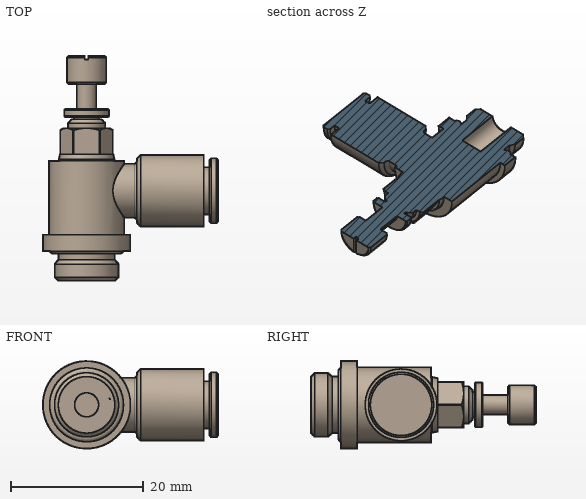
import cadquery as cq
import math


port_radius = 4.86
port_face_chamfer = 0.58
port_back_y = 2.56
neck_radius = 4.3
neck_start_y = 3.2
bore_radius = 1.82
bore_depth = 7.0

flange_radius = 6.65
flange_bottom_y = 4.52
flange_top_y = 7.0
seal_outer_radius = 5.6
seal_bulge = 0.42

body_radius = 5.73
body_top_y = 18.2

collar_foot_radius = 4.12
collar_wide_radius = 4.23
collar_top_radius = 4.05
collar_wide_y = 18.4
collar_top_y = 19.22

hex_across_flats = 7.0
hex_corner_radius = 4.0
hex_top_y = 23.13
hex_chamfer_angle = 30.0

nose_radius = 2.85
nose_tip_radius = 2.25
nose_cone_y = 23.87
nose_top_y = 24.5
nose_neck_radius = 1.95

washer_radius = 3.42
washer_chamfer = 0.2
washer_bottom_y = 24.8
washer_top_y = 26.06

stem_radius = 1.5
head_radius = 3.0
head_bottom_y = 29.82
head_top_y = 34.1
head_chamfer = 0.28
slot_width = 0.5
slot_depth = 0.55

branch_y = 13.65
branch_radius = 4.12
branch_flare = 0.4
sleeve_radius = 5.44
sleeve_start_x = 7.6
sleeve_end_x = 17.78
sleeve_chamfer = 0.57
release_neck_radius = 3.6
release_radius = 4.94
release_chamfer = 0.3
release_start_x = 18.6
branch_end_x = 19.94


def turned_disc(radius, bottom_y, top_y, bottom_chamfer=0.0, top_chamfer=0.0):
    """Cylinder along Y between two heights, with optional 45 degree edge chamfers."""
    disc = cq.Workplane("XZ", origin=(0, bottom_y, 0)).circle(radius).extrude(bottom_y - top_y)
    if bottom_chamfer:
        disc = disc.faces("<Y").chamfer(bottom_chamfer)
    if top_chamfer:
        disc = disc.faces(">Y").chamfer(top_chamfer)
    return disc


def revolve_about_y(outline):
    return outline.close().revolve(360, (0, 0, 0), (0, 1, 0))


def make_port():
    port = revolve_about_y(
        cq.Workplane("XY")
        .moveTo(0, 0)
        .lineTo(port_radius - port_face_chamfer, 0)
        .lineTo(port_radius, port_face_chamfer)
        .lineTo(port_radius, port_back_y)
        .lineTo(neck_radius, neck_start_y)
        .lineTo(neck_radius, flange_bottom_y)
        .lineTo(0, flange_bottom_y)
    )
    seal_middle_radius = (seal_outer_radius + neck_radius) / 2
    seal = revolve_about_y(
        cq.Workplane("XY")
        .moveTo(neck_radius, flange_bottom_y)
        .threePointArc(
            (seal_middle_radius, flange_bottom_y - seal_bulge),
            (seal_outer_radius, flange_bottom_y),
        )
    )
    return port.union(seal)


def make_body():
    flange = turned_disc(flange_radius, flange_bottom_y, flange_top_y)
    barrel = turned_disc(body_radius, flange_top_y, body_top_y)
    collar = revolve_about_y(
        cq.Workplane("XY")
        .moveTo(0, body_top_y)
        .lineTo(collar_foot_radius, body_top_y)
        .lineTo(collar_wide_radius, collar_wide_y)
        .lineTo(collar_top_radius, collar_top_y)
        .lineTo(0, collar_top_y)
    )
    return flange.union(barrel).union(collar)


def make_hexagon():
    across_corners = hex_across_flats / math.cos(math.radians(30))
    prism = (
        cq.Workplane("XZ", origin=(0, collar_top_y, 0))
        .polygon(6, across_corners)
        .extrude(collar_top_y - hex_top_y)
    )
    flat_radius = hex_across_flats / 2
    chamfer_height = (hex_corner_radius - flat_radius) * math.tan(math.radians(hex_chamfer_angle))
    turned_envelope = revolve_about_y(
        cq.Workplane("XY")
        .moveTo(0, collar_top_y)
        .lineTo(hex_corner_radius, collar_top_y)
        .lineTo(hex_corner_radius, hex_top_y - chamfer_height)
        .lineTo(flat_radius, hex_top_y)
        .lineTo(0, hex_top_y)
    )
    return prism.intersect(turned_envelope)


def make_nose():
    return revolve_about_y(
        cq.Workplane("XY")
        .moveTo(0, hex_top_y)
        .lineTo(nose_radius, hex_top_y)
        .lineTo(nose_radius, nose_cone_y)
        .lineTo(nose_tip_radius, nose_top_y)
        .lineTo(nose_neck_radius, nose_top_y)
        .lineTo(nose_neck_radius, washer_bottom_y)
        .lineTo(0, washer_bottom_y)
    )


def make_adjusting_screw():
    washer = turned_disc(washer_radius, washer_bottom_y, washer_top_y, washer_chamfer, washer_chamfer)
    stem = turned_disc(stem_radius, washer_top_y, head_bottom_y)
    head = turned_disc(head_radius, head_bottom_y, head_top_y, head_chamfer, head_chamfer)
    slot = cq.Workplane("XY", origin=(0, head_top_y - slot_depth / 2, 0)).box(
        slot_width, slot_depth, 2 * head_radius
    )
    return washer.union(stem).union(head.cut(slot))


def make_branch():
    """Side branch, turned about its own axis from the body axis outward."""
    flare_bend = branch_flare * (1 - math.cos(math.radians(45)))
    flare_start_x = sleeve_start_x - branch_flare
    return (
        cq.Workplane("XY", origin=(0, branch_y, 0))
        .moveTo(0, 0)
        .lineTo(0, branch_radius)
        .lineTo(flare_start_x, branch_radius)
        .threePointArc(
            (sleeve_start_x - flare_bend, branch_radius + flare_bend),
            (sleeve_start_x, branch_radius + branch_flare),
        )
        .lineTo(sleeve_start_x, sleeve_radius - sleeve_chamfer)
        .lineTo(sleeve_start_x + sleeve_chamfer, sleeve_radius)
        .lineTo(sleeve_end_x, sleeve_radius)
        .lineTo(sleeve_end_x, release_neck_radius)
        .lineTo(release_start_x, release_neck_radius)
        .lineTo(release_start_x, release_radius - release_chamfer)
        .lineTo(release_start_x + release_chamfer, release_radius)
        .lineTo(branch_end_x - release_chamfer, release_radius)
        .lineTo(branch_end_x, release_radius - release_chamfer)
        .lineTo(branch_end_x, 0)
        .close()
        .revolve(360, (0, 0, 0), (1, 0, 0))
    )


fitting = make_port()
for section in (make_body(), make_hexagon(), make_nose(), make_adjusting_screw(), make_branch()):
    fitting = fitting.union(section)

result = fitting.cut(turned_disc(bore_radius, 0, bore_depth))